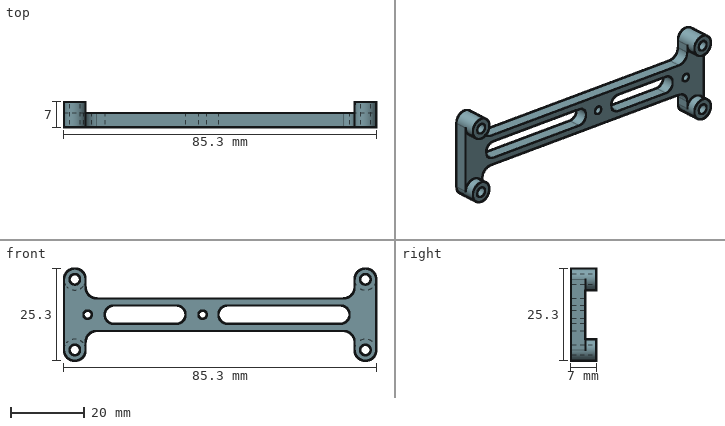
import cadquery as cq

length = 85.3
height = 25.3
plate_thickness = 4.0
boss_height = 7.0

lug_diameter = 6.0
lug_radius = lug_diameter / 2
lug_hole_diameter = 2.8
lug_x = length / 2 - lug_radius
lug_z = height / 2 - lug_radius
lug_points = [(x, z) for x in (-lug_x, lug_x) for z in (-lug_z, lug_z)]

bar_height = 9.0
corner_radius = 3.0

slot_height = 4.95
slot_spans = [(-31.5, -9.5), (-0.4, 35.3)]
small_hole_diameter = 2.2
small_hole_points = [(-36.2, 0), (-4.8, 0)]


def extrude_back(sketch, depth):
    """Extrude an XZ sketch from the front face (Y = 0) toward +Y."""
    return sketch.extrude(-depth)


def front_plane():
    return cq.Workplane("XZ")


def make_end_strip(x):
    """Upright strip between the two lug centers at one end of the plate."""
    return extrude_back(front_plane().center(x, 0).rect(lug_diameter, 2 * lug_z), plate_thickness)


def make_plate():
    """Central bar joined to both end strips, with filleted inner corners."""
    bar = extrude_back(front_plane().rect(2 * lug_x, bar_height), plate_thickness)
    plate = bar.union(make_end_strip(-lug_x)).union(make_end_strip(lug_x))
    inner_x = lug_x - lug_radius
    for x in (-inner_x, inner_x):
        for z in (-bar_height / 2, bar_height / 2):
            corner = cq.selectors.NearestToPointSelector((x, plate_thickness / 2, z))
            plate = plate.edges("|Y").edges(corner).fillet(corner_radius)
    return plate


def make_slot(start_x, end_x):
    """Round-ended opening through the bar."""
    sketch = front_plane().center((start_x + end_x) / 2, 0).slot2D(end_x - start_x, slot_height)
    return extrude_back(sketch, plate_thickness)


bosses = extrude_back(front_plane().pushPoints(lug_points).circle(lug_radius), boss_height)
lug_holes = extrude_back(
    front_plane().pushPoints(lug_points).circle(lug_hole_diameter / 2), boss_height
)
small_holes = extrude_back(
    front_plane().pushPoints(small_hole_points).circle(small_hole_diameter / 2), plate_thickness
)

result = make_plate().union(bosses).cut(lug_holes).cut(small_holes)
for start_x, end_x in slot_spans:
    result = result.cut(make_slot(start_x, end_x))